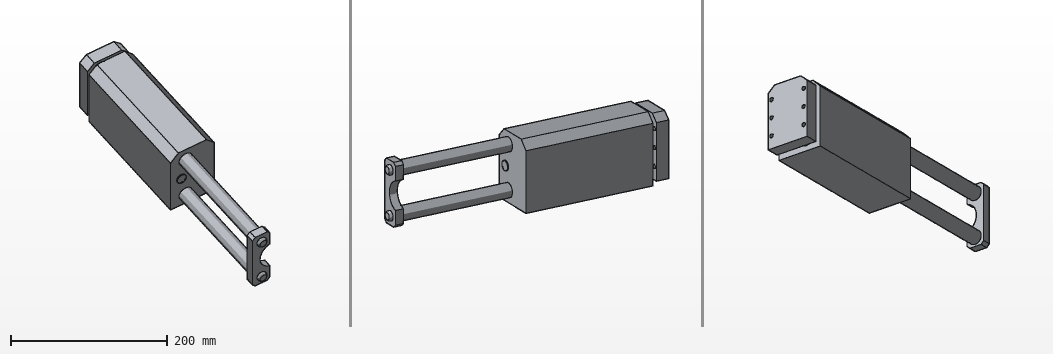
import cadquery as cq


housing_width = 67.0
housing_height = 98.0
housing_chamfer = 12.0
housing_length = 189.0
plate_gap = 6.5

plate_thickness = 18.5
plate_width = 63.0
plate_height = 90.0
plate_raise = 0.5
plate_chamfer_y = 10.5
plate_chamfer_z = 9.5

hole_offset = 26.0
corner_hole_diameter = 5.5
middle_hole_diameter = 5.1

rod_diameter = 20.0
rod_y = -10.5
rod_spacing = 63.0

piston_y = 8.5
piston_diameter = 17.0
collar_diameter = 20.0
collar_length = 2.0

stop_y = -16.0
stop_diameter = 12.0
buffer_y = -17.2
buffer_diameter = 14.0
buffer_length = 1.5

end_plate_thickness = 12.0
end_plate_y = -11.0
end_plate_width = 27.0
end_plate_height = 89.0
end_plate_chamfer = 4.25
relief_diameter = 42.0

overall_length = 394.5
head_diameter = 14.0
head_face_diameter = 10.0
head_length = 4.5
head_rim_length = 1.0

housing_start = plate_thickness + plate_gap
housing_end = housing_start + housing_length
end_plate_end = overall_length - head_length
end_plate_start = end_plate_end - end_plate_thickness

rod_heights = (-rod_spacing / 2, rod_spacing / 2)


def cylinder_x(diameter, start, end, y, z=0.0):
    """Cylinder along X from start to end."""
    plane = cq.Plane(origin=(start, y, z), xDir=(0, 1, 0), normal=(1, 0, 0))
    return cq.Workplane(plane).circle(diameter / 2).extrude(end - start)


def roofed_block(start, length, width, bottom, top, chamfer_y, chamfer_z):
    """Block along X with its two upper edges cut off."""
    half = width / 2
    plane = cq.Plane(origin=(start, 0, 0), xDir=(0, 1, 0), normal=(1, 0, 0))
    return (
        cq.Workplane(plane)
        .moveTo(-half, bottom)
        .lineTo(half, bottom)
        .lineTo(half, top - chamfer_z)
        .lineTo(half - chamfer_y, top)
        .lineTo(chamfer_y - half, top)
        .lineTo(-half, top - chamfer_z)
        .close()
        .extrude(length)
    )


def make_housing():
    """Block with the piston rod collar, the buffer and the guide rod bores."""
    half = housing_height / 2
    body = roofed_block(
        housing_start, housing_length, housing_width, -half, half, housing_chamfer, housing_chamfer
    )
    body = body.union(cylinder_x(collar_diameter, housing_start - collar_length, housing_start, piston_y))
    body = body.union(cylinder_x(buffer_diameter, housing_end, housing_end + buffer_length, buffer_y))
    for z in rod_heights:
        body = body.cut(cylinder_x(rod_diameter, housing_start, housing_end, rod_y, z))
    return body


def make_drive_plate():
    """Plate with its screw holes."""
    half = plate_height / 2
    plate = roofed_block(
        0, plate_thickness, plate_width, plate_raise - half, plate_raise + half,
        plate_chamfer_y, plate_chamfer_z,
    )
    for y in (-hole_offset, hole_offset):
        for z in (-hole_offset, 0, hole_offset):
            diameter = corner_hole_diameter if z else middle_hole_diameter
            plate = plate.cut(cylinder_x(diameter, 0, plate_thickness, y, z))
    return plate


def make_end_plate():
    """Plate with chamfered corners and a round relief around the piston axis."""
    plate = (
        cq.Workplane("XY")
        .box(end_plate_thickness, end_plate_width, end_plate_height, centered=(False, True, True))
        .edges("|X")
        .chamfer(end_plate_chamfer)
        .translate((end_plate_start, end_plate_y, 0))
    )
    return plate.cut(cylinder_x(relief_diameter, end_plate_start, end_plate_end, piston_y))


def make_screw_head(z):
    """Button head: a short round rim, then an arc tangent to it down to the flat face."""
    rim_end = end_plate_end + head_rim_length
    return (
        cq.Workplane("XY", origin=(0, rod_y, z))
        .moveTo(end_plate_end, 0)
        .lineTo(end_plate_end, head_diameter / 2)
        .lineTo(rim_end, head_diameter / 2)
        .tangentArcPoint((overall_length, head_face_diameter / 2), relative=False)
        .lineTo(overall_length, 0)
        .close()
        .revolve(360, (0, 0, 0), (1, 0, 0))
    )


def make_carriage():
    """Drive plate, piston rod, stop, guide rods and end plate as one body."""
    body = make_drive_plate()
    body = body.union(make_end_plate())
    body = body.union(
        cylinder_x(piston_diameter, plate_thickness, housing_start - collar_length, piston_y)
    )
    body = body.union(cylinder_x(stop_diameter, plate_thickness, housing_start, stop_y))
    for z in rod_heights:
        body = body.union(cylinder_x(rod_diameter, plate_thickness, end_plate_start, rod_y, z))
        body = body.union(make_screw_head(z))
    return body


housing = make_housing()
carriage = make_carriage()

result = cq.Compound.makeCompound([housing.val(), carriage.val()])